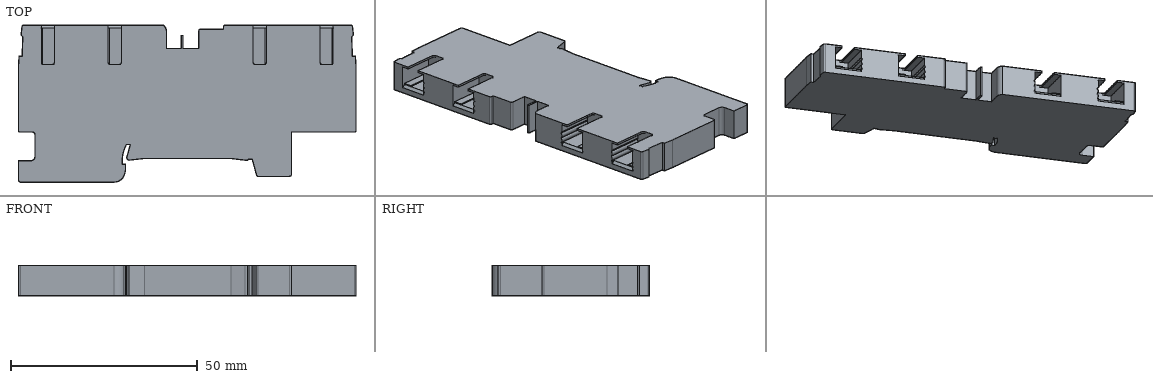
import cadquery as cq

LENGTH = 90.4
WIDTH = 42.0
THICKNESS = 8.1

SHOULDER_Y = 33.7
SHOULDER_INSET = 0.2
TAPER_END_Y = 30.7
CLIP_INSET = 1.0
CLIP_NECK_INSET = 1.2
CLIP_NECK_Y = 38.9
BEAD_INSET = 0.7
BEAD_Y = 39.4
LEDGE_Y = 13.4

RECESS_LEFT = 39.7
RECESS_RIGHT = 48.3
RECESS_FLOOR_Y = 35.8
RECESS_ARC_START_X = 38.8
RECESS_ARC_MIDDLE = (39.4, 41.3)
RECESS_ARC_END_Y = 40.2
LOW_STEP_Y = 40.95
LOW_STEP_RIGHT = 54.9
PIN_LEFT = 43.6
PIN_WIDTH = 0.5
PIN_TOP_Y = 39.3

FOOT_NOTCH_X = 4.4
FOOT_TOP_Y = 5.8
FOOT_TOE_X = 28.75
FOOT_TOE_START_X = 25.6
FOOT_TOE_BEND = (28.1, 1.4)
FOOT_TOE_LOWER_MIDDLE = (27.0, 0.4)
FOOT_TOE_UPPER_MIDDLE = (28.6, 2.5)
FOOT_TOE_END_Y = 3.8
FOOT_TOE_TOP_Y = 4.9
SLIT_LEFT = 27.8
SLIT_LEFT_MIDDLE = (28.0, 7.6)
SLIT_TOP_Y = 10.0
SLIT_TOP_LEFT = 28.9
SLIT_TOP_RIGHT = 29.9
HOOK_START = (29.1, 7.05)
HOOK_MIDDLE = (29.1, 6.2)

SEAT_Y = 6.3
SEAT_LIP_Y = 5.9
SEAT_LEFT = 33.7
SEAT_RIGHT = 56.9
LIP_LEFT = 29.65
LIP_RIGHT = 60.7
RELIEF_LEFT = 61.3
RELIEF_START = 61.65
RELIEF_RIGHT = 62.6
RELIEF_Y = 6.15
FIXED_FOOT_LEFT = 63.8
FIXED_FOOT_RIGHT = 73.1
FIXED_FOOT_Y = 1.5

SLOT_OUTER_SIDES = (6.15, 24.05)
SLOT_WIDTH = 3.5
SLOT_END_Y = 31.55
SLOT_DEPTH = 5.9
SLOT_CORNER_RADIUS = 0.5
SLOT_RIM = 0.5
SLOT_UNDERCUT = 1.9
SLOT_GROOVE_START = 2.6
SLOT_GROOVE_BOTTOM = 3.1
SLOT_BEADS = 2
SLOT_GROOVE_DEPTH = 0.3
SLOT_LEDGE_DEPTH = 5.6
SLOT_LEDGE_OVERLAP = 0.4
SLOT_RAMP = 0.7

SMALL_RADIUS = 0.45
MEDIUM_RADIUS = 0.6
NOTCH_RADIUS = 1.1


def side_points():
    """Left side contour from the top corner down to the ledge."""
    return [
        (CLIP_INSET, WIDTH),
        (BEAD_INSET, BEAD_Y),
        (CLIP_NECK_INSET, CLIP_NECK_Y),
        (CLIP_INSET, SHOULDER_Y),
        (SHOULDER_INSET, SHOULDER_Y),
        (0, TAPER_END_Y),
        (0, LEDGE_Y),
    ]


def make_body():
    left = side_points()
    right = [(LENGTH - x, y) for x, y in reversed(left)]
    outline = cq.Workplane("XY").moveTo(*left[0])
    for point in left[1:]:
        outline = outline.lineTo(*point)
    outline = (
        outline
        .lineTo(FOOT_NOTCH_X, LEDGE_Y)
        .lineTo(FOOT_NOTCH_X, FOOT_TOP_Y)
        .lineTo(0, FOOT_TOP_Y)
        .lineTo(0, 0)
        .lineTo(FOOT_TOE_START_X, 0)
        .threePointArc(FOOT_TOE_LOWER_MIDDLE, FOOT_TOE_BEND)
        .threePointArc(FOOT_TOE_UPPER_MIDDLE, (FOOT_TOE_X, FOOT_TOE_END_Y))
        .lineTo(FOOT_TOE_X, FOOT_TOE_TOP_Y)
        .lineTo(SLIT_LEFT, FOOT_TOE_TOP_Y)
        .threePointArc(SLIT_LEFT_MIDDLE, (SLIT_TOP_LEFT, SLIT_TOP_Y))
        .lineTo(SLIT_TOP_RIGHT, SLIT_TOP_Y)
        .lineTo(*HOOK_START)
        .threePointArc(HOOK_MIDDLE, (LIP_LEFT, SEAT_LIP_Y))
        .lineTo(SEAT_LEFT, SEAT_Y)
        .lineTo(SEAT_RIGHT, SEAT_Y)
        .lineTo(LIP_RIGHT, SEAT_LIP_Y)
        .lineTo(RELIEF_LEFT, SEAT_LIP_Y)
        .lineTo(RELIEF_START, RELIEF_Y)
        .lineTo(RELIEF_RIGHT, RELIEF_Y)
        .lineTo(FIXED_FOOT_LEFT, FIXED_FOOT_Y)
        .lineTo(FIXED_FOOT_RIGHT, FIXED_FOOT_Y)
        .lineTo(FIXED_FOOT_RIGHT, LEDGE_Y)
    )
    for point in right:
        outline = outline.lineTo(*point)
    outline = (
        outline
        .lineTo(LOW_STEP_RIGHT, WIDTH)
        .lineTo(LOW_STEP_RIGHT, LOW_STEP_Y)
        .lineTo(RECESS_RIGHT, LOW_STEP_Y)
        .lineTo(RECESS_RIGHT, RECESS_FLOOR_Y)
        .lineTo(PIN_LEFT + PIN_WIDTH, RECESS_FLOOR_Y)
        .lineTo(PIN_LEFT + PIN_WIDTH, PIN_TOP_Y)
        .lineTo(PIN_LEFT, PIN_TOP_Y)
        .lineTo(PIN_LEFT, RECESS_FLOOR_Y)
        .lineTo(RECESS_LEFT, RECESS_FLOOR_Y)
        .lineTo(RECESS_LEFT, RECESS_ARC_END_Y)
        .threePointArc(RECESS_ARC_MIDDLE, (RECESS_ARC_START_X, WIDTH))
        .close()
    )
    return outline.extrude(THICKNESS)


def round_corner(body, x, y, radius):
    """Fillet the edge through the thickness at one outline corner."""
    corner = cq.selectors.NearestToPointSelector((x, y, THICKNESS / 2))
    return body.edges("|Z").edges(corner).fillet(radius)


def make_slot(outer_x):
    """Cutter for one slot near the left end, wider below its two lips."""
    inner_x = outer_x + SLOT_WIDTH
    length = WIDTH - SLOT_END_Y
    chamber_left = outer_x - SLOT_UNDERCUT
    chamber_right = inner_x + SLOT_UNDERCUT
    groove_x = chamber_right + SLOT_GROOVE_DEPTH
    rim_z = THICKNESS - SLOT_RIM
    ledge_z = THICKNESS - SLOT_LEDGE_DEPTH
    ledge_x = outer_x + SLOT_LEDGE_OVERLAP
    floor_z = THICKNESS - SLOT_DEPTH
    groove_z = THICKNESS - SLOT_GROOVE_BOTTOM

    mouth = (
        cq.Workplane("XY", origin=(0, 0, ledge_z))
        .moveTo(outer_x, SLOT_END_Y)
        .rect(SLOT_WIDTH, length, centered=False)
        .extrude(SLOT_LEDGE_DEPTH)
        .edges("|Z and <Y")
        .fillet(SLOT_CORNER_RADIUS)
    )
    chamber = (
        cq.Workplane("XZ", origin=(0, WIDTH, 0))
        .moveTo(chamber_left, rim_z)
        .lineTo(chamber_left, ledge_z)
        .lineTo(ledge_x, ledge_z)
        .lineTo(ledge_x, floor_z)
        .lineTo(groove_x, floor_z)
    )
    bead_height = (groove_z - floor_z) / SLOT_BEADS
    for bead in range(SLOT_BEADS):
        bead_z = floor_z + bead * bead_height
        chamber = chamber.threePointArc(
            (chamber_right, bead_z + bead_height / 2),
            (groove_x, bead_z + bead_height),
        )
    chamber = (
        chamber
        .lineTo(chamber_right, THICKNESS - SLOT_GROOVE_START)
        .lineTo(chamber_right, rim_z)
        .close()
        .extrude(length)
    )
    ramp = (
        cq.Workplane("YZ", origin=(chamber_left, 0, 0))
        .polyline([
            (WIDTH, ledge_z),
            (WIDTH - SLOT_RAMP, ledge_z),
            (WIDTH - SLOT_RAMP, floor_z),
            (WIDTH, floor_z - SLOT_RAMP),
        ])
        .close()
        .extrude(chamber_right - chamber_left)
    )
    return mouth.union(chamber).union(ramp)


body = make_body()
for corner_x, corner_y, corner_radius in (
    (CLIP_INSET, WIDTH, SMALL_RADIUS),
    (LENGTH - CLIP_INSET, WIDTH, SMALL_RADIUS),
    (0, LEDGE_Y, SMALL_RADIUS),
    (LENGTH, LEDGE_Y, SMALL_RADIUS),
    (FOOT_NOTCH_X, LEDGE_Y, MEDIUM_RADIUS),
    (FOOT_NOTCH_X, FOOT_TOP_Y, NOTCH_RADIUS),
    (0, 0, MEDIUM_RADIUS),
    (FIXED_FOOT_RIGHT, FIXED_FOOT_Y, MEDIUM_RADIUS),
    (FIXED_FOOT_LEFT, FIXED_FOOT_Y, SMALL_RADIUS),
    (LOW_STEP_RIGHT, WIDTH, SMALL_RADIUS),
    (RECESS_RIGHT, LOW_STEP_Y, SMALL_RADIUS),
):
    body = round_corner(body, corner_x, corner_y, corner_radius)

mirror_plane = (LENGTH / 2, 0, 0)
for outer_x in SLOT_OUTER_SIDES:
    slot = make_slot(outer_x)
    body = body.cut(slot).cut(slot.mirror("YZ", mirror_plane))

result = body